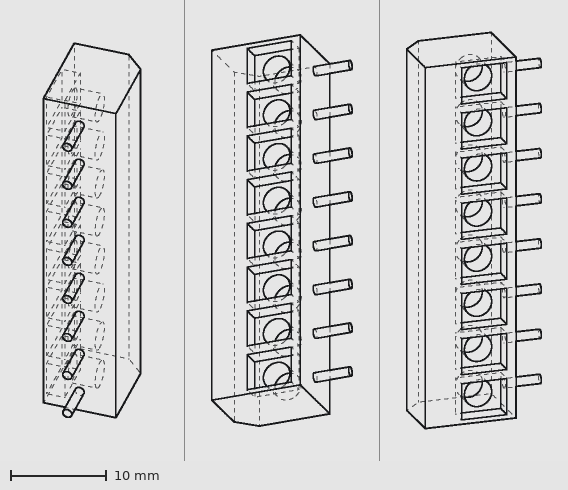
import cadquery as cq

pole_count = 8
pole_pitch = 5.0
body_width = 8.0
body_depth = 10.0
body_height = pole_count * pole_pitch
corner_chamfer = 2.0

pin_diameter = 1.0
pin_length = 4.0

pocket_depth = 2.0
pocket_length = 5.0
pocket_height = 4.0
pocket_edge_margin = 1.0

hole_diameter = 3.0
hole_depth = 3.0

left_face_x = -body_width / 2
front_face_y = -body_depth / 2
pocket_center_y = front_face_y + pocket_edge_margin + pocket_length / 2
lowest_pole_z = (pole_pitch - body_height) / 2


def make_body():
    """Rectangular housing with the vertical edge at +X, +Y chamfered."""
    body = cq.Workplane("XY").box(body_width, body_depth, body_height)
    return body.edges("|Z and >X and >Y").chamfer(corner_chamfer)


def make_pocket(z):
    """Cutter for one pole: a rectangular pocket followed by a round hole in its floor."""
    mouth = cq.Workplane("YZ", origin=(left_face_x, pocket_center_y, z))
    pocket = mouth.rect(pocket_length, pocket_height).extrude(pocket_depth)
    hole = mouth.circle(hole_diameter / 2).extrude(pocket_depth + hole_depth)
    return pocket.union(hole)


def make_pin(z):
    """Round pin standing out of the -Y face."""
    return (
        cq.Workplane("XZ", origin=(0, front_face_y, z))
        .circle(pin_diameter / 2)
        .extrude(pin_length)
    )


result = make_body()
for pole in range(pole_count):
    pole_z = lowest_pole_z + pole * pole_pitch
    result = result.cut(make_pocket(pole_z))
    result = result.union(make_pin(pole_z))